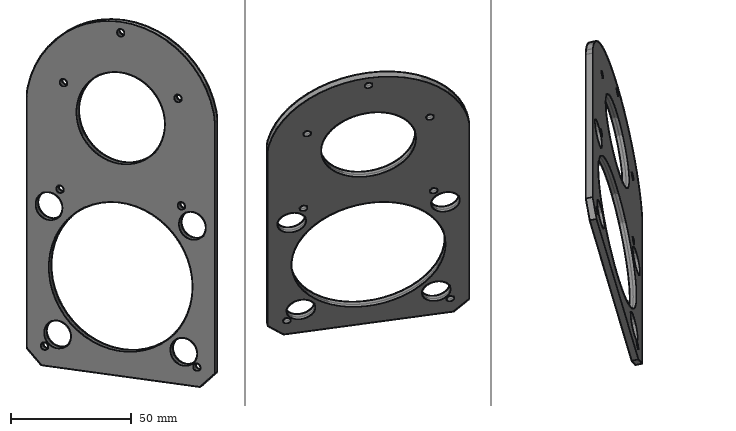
import cadquery as cq
import math

height = 155.0
width = 85.0
thickness = 3.0
crown_radius = 43.0
shoulder_radius = 20.0
corner_chamfer = 6.7

upper_bore_diameter = 40.0
upper_bore_z = 112.9
lower_bore_diameter = 65.0
lower_bore_z = 43.4

medium_hole_diameter = 12.1
medium_hole_places = [(32.4, 70.1), (28.5, 14.4)]

screw_hole_diameter = 3.3
top_screw_hole_z = 150.3
screw_hole_places = [(25.9, 125.0), (27.5, 78.2), (34.5, 8.5)]


def mirrored(places):
    """Repeat each place on both sides of the centre line."""
    return [(side * x, z) for x, z in places for side in (-1, 1)]


def make_plate():
    """Plate with a crown arc blended tangentially into straight sides."""
    half_width = width / 2
    crown_z = height - crown_radius

    shoulder_x = half_width - shoulder_radius
    blend_angle = math.acos(shoulder_x / (crown_radius - shoulder_radius))
    shoulder_z = crown_z + (crown_radius - shoulder_radius) * math.sin(blend_angle)
    blend_x = crown_radius * math.cos(blend_angle)
    blend_z = crown_z + crown_radius * math.sin(blend_angle)
    shoulder_mid_x = shoulder_x + shoulder_radius * math.cos(blend_angle / 2)
    shoulder_mid_z = shoulder_z + shoulder_radius * math.sin(blend_angle / 2)

    return (
        cq.Workplane("XZ")
        .moveTo(-half_width + corner_chamfer, 0)
        .lineTo(half_width - corner_chamfer, 0)
        .lineTo(half_width, corner_chamfer)
        .lineTo(half_width, shoulder_z)
        .threePointArc((shoulder_mid_x, shoulder_mid_z), (blend_x, blend_z))
        .threePointArc((0, height), (-blend_x, blend_z))
        .threePointArc((-shoulder_mid_x, shoulder_mid_z), (-half_width, shoulder_z))
        .lineTo(-half_width, corner_chamfer)
        .close()
        .extrude(thickness / 2, both=True)
    )


def through_holes(places, diameter):
    """Cylinders that cut through the whole thickness at the given places."""
    return cq.Workplane("XZ").pushPoints(places).circle(diameter / 2).extrude(thickness, both=True)


result = (
    make_plate()
    .cut(through_holes([(0, upper_bore_z)], upper_bore_diameter))
    .cut(through_holes([(0, lower_bore_z)], lower_bore_diameter))
    .cut(through_holes(mirrored(medium_hole_places), medium_hole_diameter))
    .cut(through_holes([(0, top_screw_hole_z)] + mirrored(screw_hole_places), screw_hole_diameter))
)